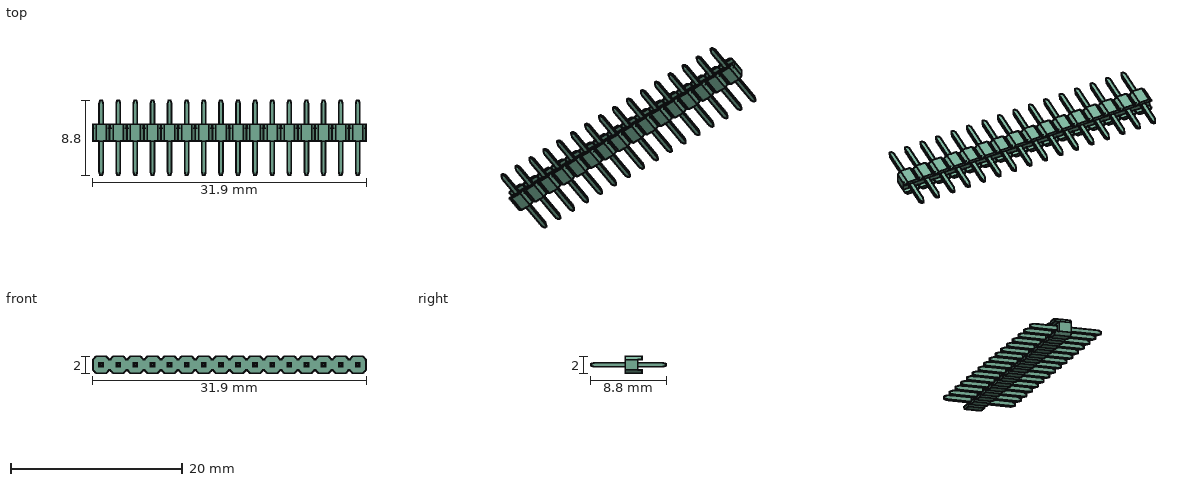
import cadquery as cq

pin_count = 16
pitch = 2.0
pin_side = 0.5
tip_side = 0.25
tip_length = 0.41
front_reach = 4.0
rear_reach = 2.8

housing_depth = 2.0
housing_height = 2.0
cell_gap = 0.05
cell_width = pitch - cell_gap
chamfer_run = 0.375
chamfer_drop = 0.4
web_height = housing_height - 2 * chamfer_drop
row_length = (pin_count - 1) * pitch + cell_width

groove_height = web_height
groove_depth = 0.5

housing_front = -housing_depth / 2
housing_rear = housing_depth / 2
pin_front = housing_front - front_reach
pin_rear = housing_rear + rear_reach
pin_positions = [(i - (pin_count - 1) / 2) * pitch for i in range(pin_count)]


def make_cell(x):
    """Octagonal housing cell around the pin at x."""
    side = cell_width / 2
    top = housing_height / 2
    flat = side - chamfer_run
    shoulder = top - chamfer_drop
    outline = [
        (side, shoulder),
        (flat, top),
        (-flat, top),
        (-side, shoulder),
        (-side, -shoulder),
        (-flat, -top),
        (flat, -top),
        (side, -shoulder),
    ]
    cell = cq.Workplane("XZ").polyline(outline).close().extrude(housing_depth / 2, both=True)
    return cell.translate((x, 0, 0))


def make_housing():
    """Row of cells joined by a web, with a groove along the rear face."""
    web_length = row_length - cell_width
    housing = cq.Workplane("XY").box(web_length, housing_depth, web_height)
    for x in pin_positions:
        housing = housing.union(make_cell(x))
    groove = (
        cq.Workplane("XY")
        .box(row_length, groove_depth, groove_height)
        .translate((0, housing_rear - groove_depth / 2, 0))
    )
    return housing.cut(groove)


def make_tip(shank_end, direction):
    """Tapered pin tip growing from shank_end along Y; direction is +1 or -1."""
    base = cq.Plane(origin=(0, shank_end, 0), xDir=(1, 0, 0), normal=(0, direction, 0))
    return (
        cq.Workplane(base)
        .rect(pin_side, pin_side)
        .workplane(offset=tip_length)
        .rect(tip_side, tip_side)
        .loft(ruled=True)
    )


def make_pin():
    """Square pin along Y with a tapered tip at both ends."""
    shank_front = pin_front + tip_length
    shank_rear = pin_rear - tip_length
    shank_length = shank_rear - shank_front
    shank_middle = (shank_front + shank_rear) / 2
    shank = cq.Workplane("XY").box(pin_side, shank_length, pin_side).translate((0, shank_middle, 0))
    return shank.union(make_tip(shank_front, -1)).union(make_tip(shank_rear, 1))


result = make_housing()
pin = make_pin()
for x in pin_positions:
    result = result.union(pin.translate((x, 0, 0)))